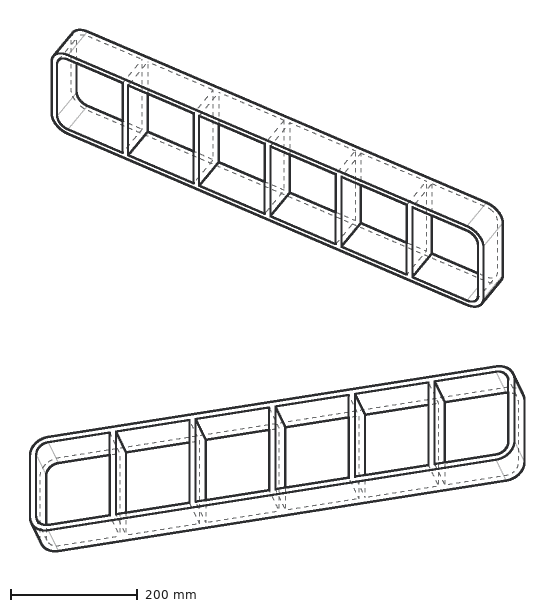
import cadquery as cq

length = 793.0
depth = 60.0
height = 179.0

wall = 10.0
outer_radius = 30.0
inner_radius = outer_radius - wall
window_count = 6
divider_pitch = (length - wall) / window_count


def rounded_bar(x_size, z_size, radius):
    """Block running the full depth, with its four Y-direction edges rounded."""
    return cq.Workplane("XY").box(x_size, depth, z_size).edges("|Y").fillet(radius)


opening = rounded_bar(length - 2 * wall, height - 2 * wall, inner_radius)
result = rounded_bar(length, height, outer_radius).cut(opening)

divider = cq.Workplane("XY").box(wall, depth, height - wall)
for index in range(1, window_count):
    x_center = (index - window_count / 2) * divider_pitch
    result = result.union(divider.translate((x_center, 0, 0)))

result = result.clean()